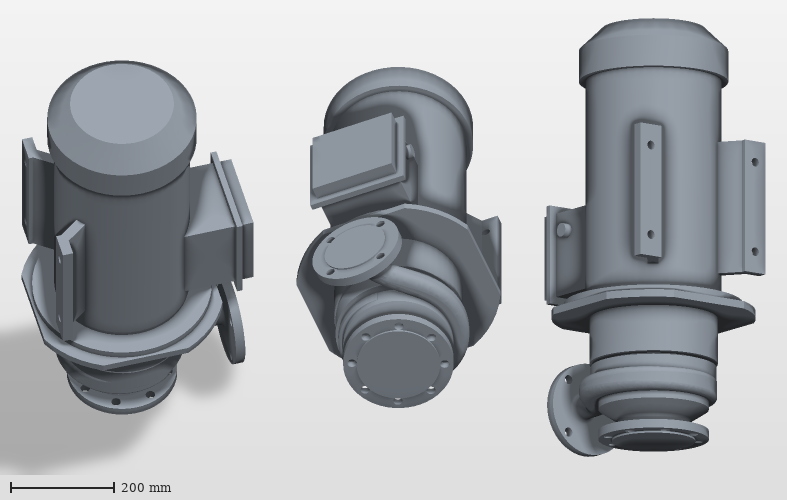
import cadquery as cq
import math

suction_face_top = 4.0
suction_flange_top = 21.0
suction_neck_bottom = 29.0
suction_neck_top = 36.0
suction_cone_start = 42.5
suction_cone_top = 64.0
casing_bottom = 101.0
casing_top = 147.5
lantern_bottom = 154.0
lantern_top = 244.0
mating_plane = 259.0
motor_flange_top = 273.5
barrel_bottom = 282.5
cowl_bottom = 715.0
cowl_shoulder = 776.5
total_height = 819.0

barrel_radius = 132.0
spigot_radius = 130.0
cowl_radius = 145.0
cowl_top_radius = 101.0
motor_flange_radius = 174.5
lantern_radius = 124.5
lantern_neck_radius = 102.0
casing_radius = 122.0
suction_flange_radius = 107.0
suction_face_radius = 81.0
suction_neck_radius = 70.5
suction_cone_start_radius = 74.5

lantern_flange_width = 358.0
lantern_flange_radius = 198.0

volute_z = 101.0
tube_size = 45.0
volute_start_angle = 90
volute_step_angle = 45
volute_steps = 7
volute_start_radius = 108.0
volute_growth_per_step = 5.3
volute_start_corner = 2.0
volute_end_corner = 18.0
branch_corner = 22.0
branch_x = -16.0
branch_bend_radius = 24.5
branch_turn = 90 + volute_steps * volute_step_angle - 360
branch_bend_end_y = 169.5
branch_end_y = 196.5
discharge_flange_back = 205.0
discharge_flange_front = 223.5
discharge_face_y = 227.0
discharge_flange_radius = 90.0
discharge_face_radius = 63.0

bolt_hole_diameter = 18.0
suction_bolt_circle_radius = 90.0
suction_bolt_count = 8
discharge_bolt_circle_radius = 74.0
discharge_bolt_count = 4

box_size = 165.5
box_z = 395.5
overall_depth = 421.0
box_end_y = overall_depth - lantern_flange_width / 2
box_rim_size = 195.0
box_rim_start_y = 205.0
box_rim_thickness = 11.5
gland_diameter = 27.0
gland_y = 169.0
gland_z = 438.0
gland_length = 15.0

foot_bottom = 324.0
foot_height = 261.0
foot_outer_x = 151.5
foot_inner_x = 101.5
foot_front_y = -160.0
foot_back_y = -139.0
foot_web_front_y = -151.0
foot_bend_x = 119.0
foot_web_angle = 53.5
foot_web_length = 74.0
foot_hole_diameter = 17.0
foot_hole_spacing = 178.0


def disc(radius, z_bottom, z_top):
    """Cylinder about the pump axis."""
    return cq.Workplane("XY").workplane(offset=z_bottom).circle(radius).extrude(z_top - z_bottom)


def bolt_holes(plane, circle_radius, count, depth):
    """Ring of drills along the plane's normal, straddling the centre lines."""
    return (
        cq.Workplane(plane)
        .polarArray(circle_radius, 180 / count, 360, count)
        .circle(bolt_hole_diameter / 2)
        .extrude(depth)
    )


def motor_barrel():
    """Round flange, spigot, barrel and cowl with its conical top."""
    return (
        cq.Workplane("XZ")
        .moveTo(0, mating_plane)
        .lineTo(motor_flange_radius, mating_plane)
        .lineTo(motor_flange_radius, motor_flange_top)
        .lineTo(spigot_radius, motor_flange_top)
        .lineTo(spigot_radius, barrel_bottom)
        .lineTo(barrel_radius, barrel_bottom)
        .lineTo(barrel_radius, cowl_bottom)
        .lineTo(cowl_radius, cowl_bottom)
        .lineTo(cowl_radius, cowl_shoulder)
        .lineTo(cowl_top_radius, total_height)
        .lineTo(0, total_height)
        .close()
        .revolve()
    )


def terminal_box():
    """Square box on the +Y side with a rim, and a cable gland on its -X wall."""
    box = cq.Workplane("XY").box(box_size, box_end_y, box_size, centered=(True, False, True))
    rim = (
        cq.Workplane("XY")
        .box(box_rim_size, box_rim_thickness, box_rim_size, centered=(True, False, True))
        .translate((0, box_rim_start_y, 0))
    )
    gland = (
        cq.Workplane("YZ", origin=(-box_size / 2, gland_y, gland_z))
        .circle(gland_diameter / 2)
        .extrude(-gland_length)
    )
    return box.union(rim).translate((0, 0, box_z)).union(gland)


def right_foot():
    """Bent bar on the +X side: a drilled plate across Y and a sloping web to the barrel."""
    web_x = -foot_web_length * math.cos(math.radians(foot_web_angle))
    web_y = foot_web_length * math.sin(math.radians(foot_web_angle))
    bar = (
        cq.Workplane("XY", origin=(0, 0, foot_bottom))
        .polyline([
            (foot_outer_x, foot_back_y),
            (foot_outer_x, foot_front_y),
            (foot_inner_x, foot_front_y),
            (foot_inner_x, foot_web_front_y),
            (foot_inner_x + web_x, foot_web_front_y + web_y),
            (foot_bend_x + web_x, foot_back_y + web_y),
            (foot_bend_x, foot_back_y),
        ])
        .close()
        .extrude(foot_height)
    )
    hole_x = (foot_outer_x + foot_inner_x) / 2
    holes = (
        cq.Workplane("XZ", origin=(hole_x, foot_back_y, foot_bottom + foot_height / 2))
        .rarray(8, foot_hole_spacing, 1, 2)
        .circle(foot_hole_diameter / 2)
        .extrude(foot_back_y - foot_front_y)
    )
    return bar.cut(holes)


def make_motor():
    foot = right_foot()
    return motor_barrel().union(terminal_box()).union(foot).union(foot.mirror("YZ"))


def lantern():
    """Flange with four flats above a round lantern and its narrow neck."""
    thickness = mating_plane - lantern_top
    square = (
        cq.Workplane("XY", origin=(0, 0, lantern_top))
        .rect(lantern_flange_width, lantern_flange_width)
        .extrude(thickness)
    )
    flange = square.intersect(disc(lantern_flange_radius, lantern_top, mating_plane))
    drum = disc(lantern_radius, lantern_bottom, lantern_top)
    neck = disc(lantern_neck_radius, casing_top, lantern_bottom)
    return flange.union(drum).union(neck)


def casing():
    """Casing drum, suction cone, suction neck and drilled suction flange."""
    flange_fillet = suction_neck_bottom - suction_flange_top
    fillet_mid = flange_fillet * (1 - math.sqrt(0.5))
    body = (
        cq.Workplane("XZ")
        .lineTo(suction_face_radius, 0)
        .lineTo(suction_face_radius, suction_face_top)
        .lineTo(suction_flange_radius, suction_face_top)
        .lineTo(suction_flange_radius, suction_flange_top)
        .lineTo(suction_neck_radius + flange_fillet, suction_flange_top)
        .threePointArc(
            (suction_neck_radius + fillet_mid, suction_flange_top + fillet_mid),
            (suction_neck_radius, suction_neck_bottom),
        )
        .lineTo(suction_neck_radius, suction_neck_top)
        .tangentArcPoint((suction_cone_start_radius, suction_cone_start), relative=False)
        .lineTo(suction_flange_radius, suction_cone_top)
        .lineTo(suction_flange_radius, casing_bottom)
        .lineTo(casing_radius, casing_bottom)
        .lineTo(casing_radius, casing_top)
        .lineTo(0, casing_top)
        .close()
        .revolve()
    )
    return body.cut(
        bolt_holes("XY", suction_bolt_circle_radius, suction_bolt_count, suction_flange_top)
    )


def tube_section(x, y, heading, corner):
    """Rounded square across the tube, centred at (x, y), facing the heading in degrees."""
    angle = math.radians(heading)
    direction = cq.Vector(math.cos(angle), math.sin(angle), 0)
    across = cq.Vector(math.sin(angle), -math.cos(angle), 0)
    plane = cq.Plane(origin=(x, y, volute_z), xDir=across, normal=direction)
    sketch = cq.Sketch().rect(tube_size, tube_size).vertices().fillet(corner)
    return sketch.moved(cq.Location(plane))


def volute():
    """Tube spiralling clockwise around the casing, rounder towards the discharge."""
    corner_growth = (volute_end_corner - volute_start_corner) / volute_steps
    sections = []
    for step in range(volute_steps + 1):
        angle = volute_start_angle - step * volute_step_angle
        centre_radius = volute_start_radius + step * volute_growth_per_step - tube_size / 2
        sections.append(
            tube_section(
                centre_radius * math.cos(math.radians(angle)),
                centre_radius * math.sin(math.radians(angle)),
                angle - 90,
                volute_start_corner + step * corner_growth,
            )
        )
    turn = math.radians(branch_turn)
    bend_start_x = branch_x - branch_bend_radius * (1 - math.cos(turn))
    bend_start_y = branch_bend_end_y - branch_bend_radius * math.sin(turn)
    sections.append(tube_section(bend_start_x, bend_start_y, 90 - branch_turn, branch_corner))
    return cq.Workplane("XY").placeSketch(*sections).loft()


def discharge_bend():
    """Tube curving about a vertical axis at -X until it heads along +Y."""
    end_plane = cq.Plane(
        origin=(branch_x, branch_bend_end_y, volute_z), xDir=(1, 0, 0), normal=(0, -1, 0)
    )
    section = cq.Sketch().rect(tube_size, tube_size).vertices().fillet(branch_corner)
    return (
        cq.Workplane(end_plane)
        .placeSketch(section)
        .revolve(branch_turn, (-branch_bend_radius, 0, 0), (-branch_bend_radius, -1, 0))
    )


def discharge_stub():
    """Straight round end of the tube, flaring in a fillet against the discharge flange."""
    branch_radius = tube_size / 2
    fillet = discharge_flange_back - branch_end_y
    fillet_mid = fillet * (1 - math.sqrt(0.5))
    return (
        cq.Workplane("XY", origin=(branch_x, 0, volute_z))
        .moveTo(0, branch_bend_end_y)
        .lineTo(branch_radius, branch_bend_end_y)
        .lineTo(branch_radius, branch_end_y)
        .threePointArc(
            (branch_radius + fillet_mid, discharge_flange_back - fillet_mid),
            (branch_radius + fillet, discharge_flange_back),
        )
        .lineTo(0, discharge_flange_back)
        .close()
        .revolve(360, (0, 0, 0), (0, 1, 0))
    )


def discharge_flange():
    """Round drilled flange on +Y with a raised face."""
    flange = (
        cq.Workplane("XY")
        .moveTo(0, discharge_flange_back)
        .lineTo(discharge_flange_radius, discharge_flange_back)
        .lineTo(discharge_flange_radius, discharge_flange_front)
        .lineTo(discharge_face_radius, discharge_flange_front)
        .lineTo(discharge_face_radius, discharge_face_y)
        .lineTo(0, discharge_face_y)
        .close()
        .revolve(360, (0, 0, 0), (0, 1, 0))
    )
    back_plane = cq.Plane(origin=(0, discharge_flange_back, 0), xDir=(1, 0, 0), normal=(0, 1, 0))
    depth = discharge_flange_front - discharge_flange_back
    holes = bolt_holes(back_plane, discharge_bolt_circle_radius, discharge_bolt_count, depth)
    return flange.cut(holes).translate((0, 0, volute_z))


def make_pump():
    branch = discharge_bend().union(discharge_stub()).union(discharge_flange())
    return lantern().union(casing()).union(volute()).union(branch)


motor = make_motor()
pump = make_pump()

result = cq.Compound.makeCompound([motor.solids().val(), pump.solids().val()])